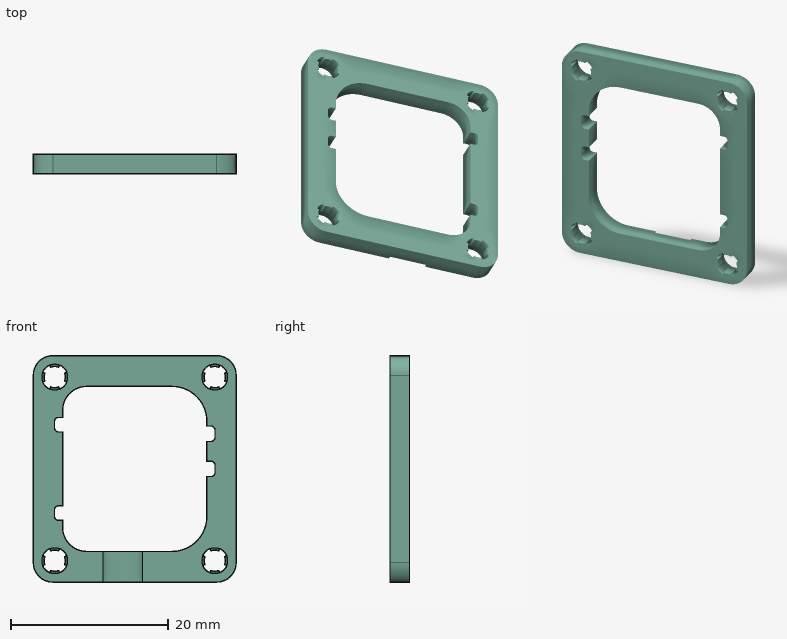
import cadquery as cq
import math

WIDTH = 25.8
HEIGHT = 28.8
THICKNESS = 2.5
OUTER_RADIUS = 2.5
FRONT_Y = -THICKNESS / 2
BACK_Y = THICKNESS / 2

WINDOW_WIDTH = 18.3
WINDOW_HEIGHT = 20.95
WINDOW_LEFT_RADIUS = 3.02
WINDOW_RIGHT_RADIUS = 4.4

NOTCH_DEPTH = 1.05
NOTCH_RADIUS = 0.5
LEFT_NOTCH_HEIGHT = 1.8
LEFT_NOTCH_CENTERS = (-5.62, 5.62)
RIGHT_NOTCH_HEIGHT = 1.93
RIGHT_NOTCH_CENTERS = (0.0, 4.45)

HOLE_DIAMETER = 3.28
HOLE_SPACING_X = 20.33
HOLE_SPACING_Z = 23.33
TAB_INNER_DIAMETER = 2.65
TAB_COUNT = 4
TAB_ANGLE = 45.0
TAB_SETBACK = 1.15

RECESS_WIDTH = 4.98
RECESS_CENTER_X = -1.53
RECESS_DEPTH = 0.4


def box_between(x_min, x_max, y_min, y_max, z_min, z_max):
    """Box given by its limits along each axis."""
    size = (x_max - x_min, y_max - y_min, z_max - z_min)
    return cq.Workplane("XY").box(*size, centered=False).translate((x_min, y_min, z_min))


def make_plate():
    return cq.Workplane("XY").box(WIDTH, THICKNESS, HEIGHT).edges("|Y").fillet(OUTER_RADIUS)


def make_window():
    window = cq.Workplane("XY").box(WINDOW_WIDTH, THICKNESS, WINDOW_HEIGHT)
    window = window.edges("|Y and <X").fillet(WINDOW_LEFT_RADIUS)
    return window.edges("|Y and >X").fillet(WINDOW_RIGHT_RADIUS)


def make_notch(side, center_z, height):
    """Notch cutter running out from the window; side is -1 for left, 1 for right."""
    wall_x = WINDOW_WIDTH / 2
    x_min, x_max = sorted((side * (wall_x - NOTCH_DEPTH), side * (wall_x + NOTCH_DEPTH)))
    notch = box_between(x_min, x_max, FRONT_Y, BACK_Y, center_z - height / 2, center_z + height / 2)
    outer_end = ">X" if side > 0 else "<X"
    return notch.faces(outer_end).edges("|Y").fillet(NOTCH_RADIUS)


def cylinder_along_y(diameter, y_min, y_max):
    disc = cq.Workplane("XZ", origin=(0, y_max, 0)).circle(diameter / 2)
    return disc.extrude(y_max - y_min)


def sector_corner(angle):
    """Point well outside the hole wall, at an angle in degrees from +X."""
    radians = math.radians(angle)
    reach = HOLE_DIAMETER
    return (reach * math.cos(radians), reach * math.sin(radians))


def make_hole():
    """Hole cutter that leaves the evenly spaced tabs standing behind the setback."""
    tab_front_y = FRONT_Y + TAB_SETBACK
    hole = cylinder_along_y(HOLE_DIAMETER, FRONT_Y, BACK_Y)
    for index in range(TAB_COUNT):
        middle_angle = index * 360 / TAB_COUNT
        sector = (
            cq.Workplane("XZ", origin=(0, BACK_Y, 0))
            .polyline([
                (0, 0),
                sector_corner(middle_angle - TAB_ANGLE / 2),
                sector_corner(middle_angle + TAB_ANGLE / 2),
            ])
            .close()
            .extrude(BACK_Y - tab_front_y)
        )
        hole = hole.cut(sector)
    return hole.union(cylinder_along_y(TAB_INNER_DIAMETER, FRONT_Y, BACK_Y))


def make_recess():
    return box_between(
        RECESS_CENTER_X - RECESS_WIDTH / 2,
        RECESS_CENTER_X + RECESS_WIDTH / 2,
        FRONT_Y,
        FRONT_Y + RECESS_DEPTH,
        -HEIGHT / 2,
        -WINDOW_HEIGHT / 2,
    )


result = make_plate().cut(make_window())

for notch_z in LEFT_NOTCH_CENTERS:
    result = result.cut(make_notch(-1, notch_z, LEFT_NOTCH_HEIGHT))
for notch_z in RIGHT_NOTCH_CENTERS:
    result = result.cut(make_notch(1, notch_z, RIGHT_NOTCH_HEIGHT))

corner_hole = make_hole()
for hole_x in (-HOLE_SPACING_X / 2, HOLE_SPACING_X / 2):
    for hole_z in (-HOLE_SPACING_Z / 2, HOLE_SPACING_Z / 2):
        result = result.cut(corner_hole.translate((hole_x, 0, hole_z)))

result = result.cut(make_recess())